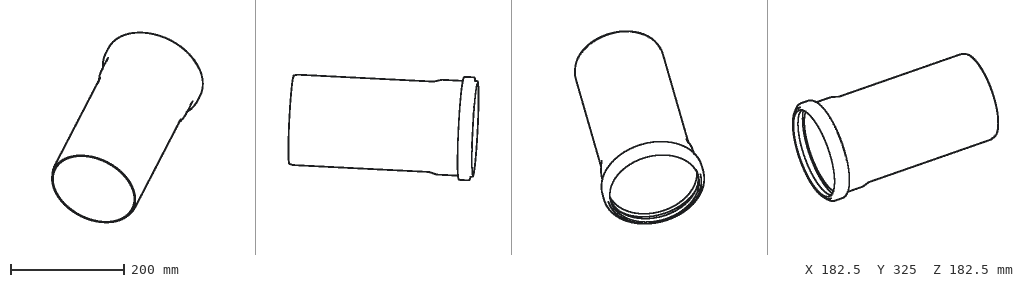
import cadquery as cq

length = 325.0
mouth_y = length / 2

bore_diameter = 152.5
pipe_diameter = 160.2
socket_bore = 161.0
socket_diameter = 168.0
rim_diameter = 169.5
groove_diameter = 175.5
ring_diameter = 182.5

ring_start = 5.2
ring_end = 25.0
socket_end = 63.5
taper_end = 77.7

ring_edge = 3.0
small_fillet = 1.0
spigot_chamfer_length = 6.5
spigot_chamfer_depth = 2.0

tolerance = 0.003

ring_wall = (ring_diameter - groove_diameter) / 2


def cylinder(diameter, start, end):
    """Solid cylinder on the Y axis between two distances from the socket mouth."""
    plane = cq.Workplane("XZ", origin=(0, mouth_y - start, 0))
    return plane.circle(diameter / 2).extrude(end - start)


def cone(start_diameter, end_diameter, start, end):
    """Solid truncated cone on the Y axis between two distances from the socket mouth."""
    outline = [
        (0, mouth_y - start),
        (start_diameter / 2, mouth_y - start),
        (end_diameter / 2, mouth_y - end),
        (0, mouth_y - end),
    ]
    return cq.Workplane("XY").polyline(outline).close().revolve(360, (0, 0, 0), (0, 1, 0))


def round_edge(body, distance, diameter):
    """Apply the small fillet to the circular edge at one distance and diameter."""
    matching_edges = [
        edge
        for edge in body.edges("%CIRCLE").vals()
        if abs(edge.Center().y - (mouth_y - distance)) < tolerance
        and abs(edge.radius() - diameter / 2) < tolerance
    ]
    return body.newObject(matching_edges).fillet(small_fillet)


def socket_collar():
    """Rim, seal ring housing and socket wall, with rounded mouth and ring roots."""
    ring = cylinder(ring_diameter, ring_start, ring_end).edges().fillet(ring_edge)
    collar = (
        cylinder(rim_diameter, 0, ring_start + ring_edge)
        .union(ring)
        .union(cylinder(socket_diameter, ring_end - ring_edge, socket_end))
    )
    collar = round_edge(collar, 0, rim_diameter)
    collar = round_edge(collar, ring_start, rim_diameter)
    return round_edge(collar, ring_end, socket_diameter)


def outer_body():
    """Pipe with a chamfered spigot, flared into the socket with its seal ring housing."""
    spigot_tip = pipe_diameter - 2 * spigot_chamfer_depth
    chamfer_start = length - spigot_chamfer_length
    return (
        socket_collar()
        .union(cone(socket_diameter, pipe_diameter, socket_end, taper_end))
        .union(cylinder(pipe_diameter, taper_end, chamfer_start))
        .union(cone(pipe_diameter, spigot_tip, chamfer_start, length))
    )


def inner_cavity():
    """Through bore, socket bore with a tapered seat, and the seal groove inside the ring."""
    groove = cylinder(groove_diameter, ring_start + ring_wall, ring_end - ring_wall)
    return (
        cylinder(bore_diameter, 0, length)
        .union(cylinder(socket_bore, 0, socket_end))
        .union(cone(socket_bore, bore_diameter, socket_end, taper_end))
        .union(groove)
    )


result = outer_body().cut(inner_cavity())